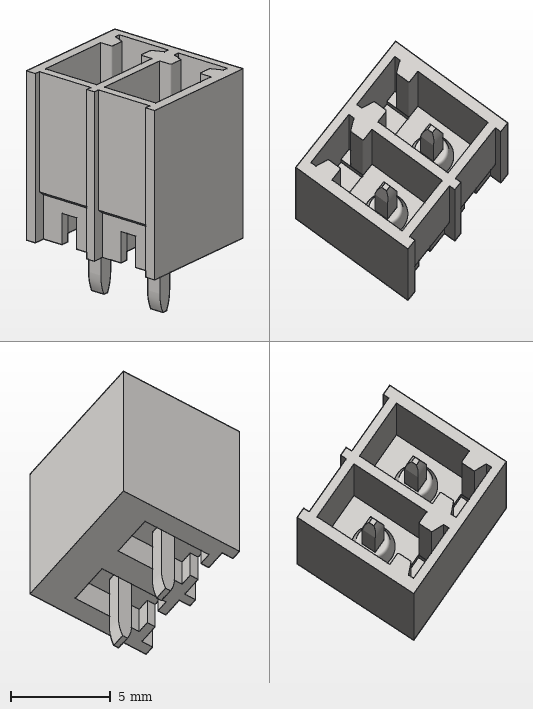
import cadquery as cq
import math

total_height = 12.4
housing_width = 8.28
housing_height = 9.2
front_y = -3.09
back_y = 3.98
pitch = 3.81
station_count = 2

cavity_width = 3.31
cavity_front_y = -2.28
cavity_back_y = 2.13
cavity_floor_z = 2.98

keyway_back_y = 3.52
keyway_width = 3.15
keyway_side_length = 0.31
neck_width = 1.85
neck_back_y = 2.93
neck_fillet = 0.07
channel_width = 1.82
channel_floor_z = 2.48

panel_y = -2.75
lower_panel_y = -2.43
slope_bottom_z = 2.42
slope_top_z = 2.67

pocket_width = 2.38
pocket_half_depth = 1.95
pocket_height = 1.71
slot_width = 0.94

boss_base_radius = 1.1
boss_shoulder_radius = 0.87
boss_top_radius = 0.71
boss_cone_height = 0.78

pin_width = 0.79
pin_end_width = 0.3
pin_taper_length = 1.09
pin_top_z = 7.85

pin_bottom_z = housing_height - total_height
boss_fillet = boss_shoulder_radius - boss_top_radius
boss_top_z = cavity_floor_z + boss_cone_height + boss_fillet
station_xs = [(i - (station_count - 1) / 2) * pitch for i in range(station_count)]


def block(center_x, width, y_min, y_max, z_min, z_max):
    """Box centred on center_x, between the given Y and Z limits."""
    return (
        cq.Workplane("XY")
        .box(width, y_max - y_min, z_max - z_min, centered=(True, False, False))
        .translate((center_x, y_min, z_min))
    )


def plug_space(x):
    """Cavity, T-shaped keyway and the deeper channel along the middle of the keyway."""
    height = housing_height - cavity_floor_z
    neck = neck_width / 2
    wing = keyway_width / 2
    side = cavity_width / 2
    wing_y = keyway_back_y - keyway_side_length
    outline = [
        (x - side, cavity_front_y), (x + side, cavity_front_y),
        (x + side, cavity_back_y), (x + neck, cavity_back_y),
        (x + neck, neck_back_y), (x + wing, wing_y),
        (x + wing, keyway_back_y), (x - wing, keyway_back_y),
        (x - wing, wing_y), (x - neck, neck_back_y),
        (x - neck, cavity_back_y), (x - side, cavity_back_y),
    ]
    space = cq.Workplane("XY", origin=(0, 0, cavity_floor_z)).polyline(outline).close().extrude(height)
    edge_z = cavity_floor_z + height / 2
    for sign in (-1, 1):
        neck_corner = (x + sign * neck, cavity_back_y, edge_z)
        space = space.edges(cq.selectors.NearestToPointSelector(neck_corner)).fillet(neck_fillet)
    channel = block(x, channel_width, cavity_back_y, keyway_back_y, channel_floor_z, cavity_floor_z)
    return space.union(channel)


def front_recess(x):
    """Recess between two front ribs, deeper below a slope."""
    outline = [
        (front_y, 0), (lower_panel_y, 0), (lower_panel_y, slope_bottom_z),
        (panel_y, slope_top_z), (panel_y, housing_height), (front_y, housing_height),
    ]
    start_x = x - cavity_width / 2
    return cq.Workplane("YZ", origin=(start_x, 0, 0)).polyline(outline).close().extrude(cavity_width)


def underside_pocket(x):
    """Pocket around the pin below the floor, with a slot through the front panel."""
    pocket = block(x, pocket_width, -pocket_half_depth, pocket_half_depth, 0, pocket_height)
    slot = block(x, slot_width, front_y, 0, 0, pocket_height)
    return pocket.union(slot)


def boss(x):
    """Conical boss with a rounded top edge, standing on the cavity floor."""
    shoulder_z = cavity_floor_z + boss_cone_height
    round_reach = boss_fillet * math.sqrt(0.5)
    round_middle = (boss_top_radius + round_reach, shoulder_z + round_reach)
    return (
        cq.Workplane("XZ")
        .moveTo(0, cavity_floor_z)
        .lineTo(boss_base_radius, cavity_floor_z)
        .lineTo(boss_shoulder_radius, shoulder_z)
        .threePointArc(round_middle, (boss_top_radius, boss_top_z))
        .lineTo(0, boss_top_z)
        .close()
        .revolve(360, (0, 0, 0), (0, 1, 0))
        .translate((x, 0, 0))
    )


def pin_hole(x):
    """Square hole that the pin fills, from the pocket up through the boss."""
    return block(x, pin_width, -pin_width / 2, pin_width / 2, pocket_height, boss_top_z)


def make_housing():
    body = block(0, housing_width, front_y, back_y, 0, housing_height)
    for x in station_xs:
        body = body.cut(plug_space(x)).cut(front_recess(x)).cut(underside_pocket(x))
        body = body.union(boss(x)).cut(pin_hole(x))
    return body


def tapered_outline():
    """Pin seen along Y: straight sides and a flat-sided taper at the top."""
    half = pin_width / 2
    end = pin_end_width / 2
    return cq.Workplane("XZ").polyline([
        (-half, pin_bottom_z), (half, pin_bottom_z),
        (half, pin_top_z - pin_taper_length), (end, pin_top_z),
        (-end, pin_top_z), (-half, pin_top_z - pin_taper_length),
    ]).close()


def bullet_outline():
    """Pin seen along X: both ends narrow along arcs tangent to the straight sides."""
    half = pin_width / 2
    end = pin_end_width / 2
    inset = half - end
    arc_radius = (inset**2 + pin_taper_length**2) / (2 * inset)
    half_angle = math.asin(pin_taper_length / arc_radius) / 2
    mid = half - arc_radius * (1 - math.cos(half_angle))
    mid_rise = arc_radius * math.sin(half_angle)
    top_start = pin_top_z - pin_taper_length
    bottom_start = pin_bottom_z + pin_taper_length
    return (
        cq.Workplane("YZ")
        .moveTo(-half, top_start)
        .threePointArc((-mid, top_start + mid_rise), (-end, pin_top_z))
        .lineTo(end, pin_top_z)
        .threePointArc((mid, top_start + mid_rise), (half, top_start))
        .lineTo(half, bottom_start)
        .threePointArc((mid, bottom_start - mid_rise), (end, pin_bottom_z))
        .lineTo(-end, pin_bottom_z)
        .threePointArc((-mid, bottom_start - mid_rise), (-half, bottom_start))
        .close()
    )


def make_pin(x):
    """Square pin: the top narrows on all four sides, the bottom only at front and back."""
    half = pin_width / 2
    flat_tapered = tapered_outline().extrude(half, both=True)
    round_tapered = bullet_outline().extrude(half, both=True)
    return flat_tapered.intersect(round_tapered).translate((x, 0, 0))


housing = make_housing()
pins = [make_pin(x) for x in station_xs]

result = cq.Compound.makeCompound([housing.val(), *[pin.val() for pin in pins]])